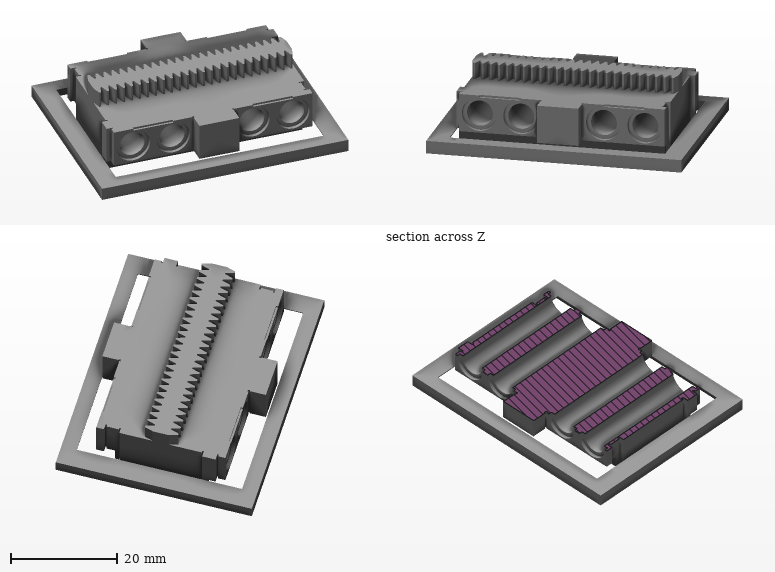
import cadquery as cq

FRAME_WIDTH = 38.4
FRAME_LENGTH = 49.4
FRAME_THICKNESS = 2.45
OPENING_WIDTH = 32.35
OPENING_LENGTH = 41.7
LIP_THICKNESS = 0.2
REBATE_WIDTH = 35.2
REBATE_LENGTH = 45.65

MODULE = 8.0
MODULES_LONG = 5
BLOCK_WIDTH = 25.3
END_CLEARANCE = 0.2
BLOCK_LENGTH = MODULES_LONG * MODULE - END_CLEARANCE
BLOCK_BOTTOM = 2.65
BLOCK_TOP = 10.05
FOOT_WIDTH = 18.45

WING_LENGTH = MODULE
WING_SPAN = 32.0
WING_RELIEF = 0.4

KEY_OFFSET = 9.65
TAB_WIDTH = 2.6
TAB_HEIGHT = 0.85
SIDE_CLEARANCE = 0.2
NOTCH_WIDTH = TAB_WIDTH + 2 * SIDE_CLEARANCE
NOTCH_DEPTH = 0.75
RELIEF_WIDTH = 0.3
RELIEF_DEPTH = 0.4

HOLE_DIAMETER = 5.0
COUNTERBORE_DIAMETER = 6.6
COUNTERBORE_DEPTH = 0.7
HOLE_HEIGHT = 6.3
HOLE_POSITIONS = (-2 * MODULE, -MODULE, MODULE, 2 * MODULE)

STEP_LENGTH = MODULE
STEP_OFFSET = 1.5 * MODULE
STEP_DEPTH = 0.4
STEP_HEIGHT = 0.4

RACK_TOP = 13.2
TEETH_PER_MODULE = 5
TOOTH_COUNT = MODULES_LONG * TEETH_PER_MODULE
TOOTH_PITCH = MODULE / TEETH_PER_MODULE
ROOT_HALF_WIDTH = 1.6
TIP_HALF_WIDTH = 3.25
ROOT_FLAT = 0.25
TIP_FLAT = 0.35


def upright_box(x_size, y_size, z_low, z_high, x=0.0, y=0.0):
    """Box centred on (x, y) that reaches from z_low to z_high."""
    return (
        cq.Workplane("XY", origin=(x, y, z_low))
        .rect(x_size, y_size)
        .extrude(z_high - z_low)
    )


def make_frame():
    """Rim with a thin lip around its opening and a wider rebate below the lip."""
    rim = upright_box(FRAME_WIDTH, FRAME_LENGTH, 0, FRAME_THICKNESS)
    opening = upright_box(OPENING_WIDTH, OPENING_LENGTH, 0, FRAME_THICKNESS)
    rebate = upright_box(REBATE_WIDTH, REBATE_LENGTH, 0, FRAME_THICKNESS - LIP_THICKNESS)
    return rim.cut(opening).cut(rebate)


def add_wings(body):
    body = body.union(upright_box(WING_SPAN, WING_LENGTH, BLOCK_BOTTOM, BLOCK_TOP))
    for x in (-BLOCK_WIDTH / 2, BLOCK_WIDTH / 2):
        for y in (-WING_LENGTH / 2, WING_LENGTH / 2):
            relief = upright_box(WING_RELIEF, WING_RELIEF, BLOCK_BOTTOM, BLOCK_TOP, x, y)
            body = body.cut(relief)
    return body


def cut_relief_pair(body, x, y, spacing):
    """Two narrow slots, centred on the line y and equally far to either side of x."""
    for side in (-1, 1):
        slot_x = x + side * spacing / 2
        slot = upright_box(RELIEF_WIDTH, 2 * RELIEF_DEPTH, 0, BLOCK_TOP, slot_x, y)
        body = body.cut(slot)
    return body


def add_end_keys(body):
    """Tab and notch on each end; the two ends are half a turn apart."""
    for end in (-1, 1):
        end_y = end * BLOCK_LENGTH / 2
        tab_x = -end * KEY_OFFSET
        notch_x = end * KEY_OFFSET
        notch_floor_y = end_y - end * NOTCH_DEPTH

        tab = upright_box(TAB_WIDTH, 2 * TAB_HEIGHT, 0, BLOCK_TOP, tab_x, end_y)
        body = body.union(tab)
        body = cut_relief_pair(body, tab_x, end_y, TAB_WIDTH + RELIEF_WIDTH)

        notch = upright_box(NOTCH_WIDTH, 2 * NOTCH_DEPTH, 0, BLOCK_TOP, notch_x, end_y)
        body = body.cut(notch)
        body = cut_relief_pair(body, notch_x, notch_floor_y, NOTCH_WIDTH - RELIEF_WIDTH)
    return body


def trim_foot(body):
    """Leave only the middle strip below the underside of the block."""
    side_width = FRAME_WIDTH / 2
    for side in (-1, 1):
        x = side * (FOOT_WIDTH + side_width) / 2
        body = body.cut(upright_box(side_width, FRAME_LENGTH, 0, BLOCK_BOTTOM, x))
    return body


def cut_cross_holes(body):
    def cylinders(diameter, x_start, length):
        return (
            cq.Workplane("YZ", origin=(x_start, 0, HOLE_HEIGHT))
            .pushPoints([(y, 0) for y in HOLE_POSITIONS])
            .circle(diameter / 2)
            .extrude(length)
        )

    half_width = BLOCK_WIDTH / 2
    body = body.cut(cylinders(HOLE_DIAMETER, -half_width, BLOCK_WIDTH))
    body = body.cut(cylinders(COUNTERBORE_DIAMETER, -half_width, COUNTERBORE_DEPTH))
    return body.cut(cylinders(COUNTERBORE_DIAMETER, half_width, -COUNTERBORE_DEPTH))


def cut_edge_steps(body):
    step_floor = BLOCK_TOP - STEP_HEIGHT
    for x in (-BLOCK_WIDTH / 2, BLOCK_WIDTH / 2):
        for y in (-STEP_OFFSET, STEP_OFFSET):
            step = upright_box(2 * STEP_DEPTH, STEP_LENGTH, step_floor, BLOCK_TOP, x, y)
            body = body.cut(step)
    return body


def add_rack(body):
    left_edge = []
    for tooth in range(TOOTH_COUNT):
        start_y = (tooth - TOOTH_COUNT / 2) * TOOTH_PITCH
        middle_y = start_y + TOOTH_PITCH / 2
        end_y = start_y + TOOTH_PITCH
        left_edge += [
            (-ROOT_HALF_WIDTH, start_y + ROOT_FLAT / 2),
            (-TIP_HALF_WIDTH, middle_y - TIP_FLAT / 2),
            (-TIP_HALF_WIDTH, middle_y + TIP_FLAT / 2),
            (-ROOT_HALF_WIDTH, end_y - ROOT_FLAT / 2),
        ]
    first_corner = (-ROOT_HALF_WIDTH, -BLOCK_LENGTH / 2)
    last_corner = (-ROOT_HALF_WIDTH, BLOCK_LENGTH / 2)
    left_edge = [first_corner, *left_edge, last_corner]
    right_edge = [(-x, y) for x, y in reversed(left_edge)]
    rack = (
        cq.Workplane("XY", origin=(0, 0, BLOCK_TOP))
        .polyline(left_edge + right_edge)
        .close()
        .extrude(RACK_TOP - BLOCK_TOP)
    )
    return body.union(rack)


def make_slider():
    body = upright_box(BLOCK_WIDTH, BLOCK_LENGTH, 0, BLOCK_TOP)
    body = add_end_keys(body)
    body = trim_foot(body)
    body = add_wings(body)
    body = cut_cross_holes(body)
    body = cut_edge_steps(body)
    return add_rack(body)


frame = make_frame()
slider = make_slider()
result = cq.Compound.makeCompound([frame.solids().val(), slider.solids().val()])